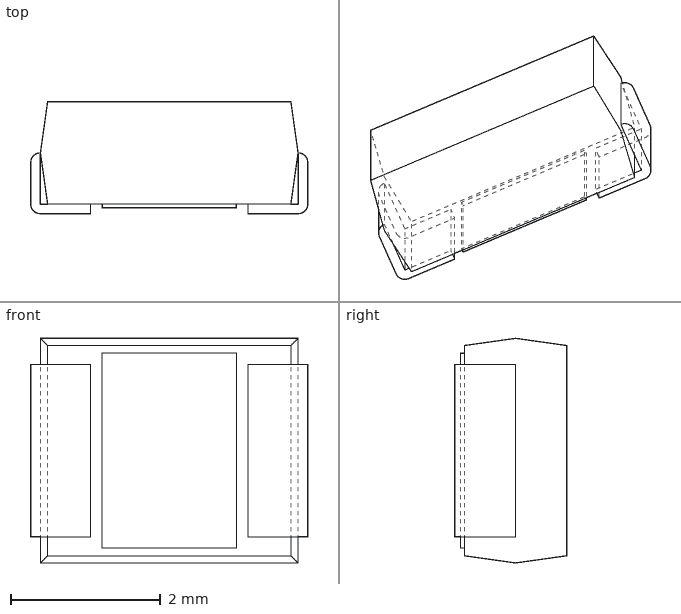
import cadquery as cq
import math

LENGTH = 3.7
DEPTH = 1.5
HEIGHT = 3.0

LEAD_THICKNESS = 0.13
LEAD_WIDTH = 2.3
FOOT_LENGTH = 0.8

DRAFT_ANGLE = 8.0
HOUSING_LENGTH = LENGTH - 2 * LEAD_THICKNESS
HALF_DEPTH = (DEPTH - LEAD_THICKNESS) / 2

PAD_LENGTH = 1.795
PAD_HEIGHT = 2.6
PAD_THICKNESS = 0.05

MOUNTING_FACE_Y = -HALF_DEPTH
FOOT_Y = MOUNTING_FACE_Y - LEAD_THICKNESS


def make_housing():
    """Block that tapers from the parting plane toward its front and back faces."""
    parting_section = cq.Workplane("XZ").rect(HOUSING_LENGTH, HEIGHT)
    front_half = parting_section.extrude(HALF_DEPTH, taper=DRAFT_ANGLE)
    back_half = front_half.mirror("XZ")
    return front_half.union(back_half).solids()


def make_lead(side):
    """L-shaped strip beside the housing and under its mounting face; side is -1 or +1 along X."""
    outer_x = side * LENGTH / 2
    inner_x = side * HOUSING_LENGTH / 2
    foot_end_x = side * (LENGTH / 2 - FOOT_LENGTH)

    diagonal = LEAD_THICKNESS * math.sqrt(0.5)
    tip_round_mid = (inner_x + side * diagonal, -LEAD_THICKNESS + diagonal)
    bend_round_mid = (inner_x + side * diagonal, MOUNTING_FACE_Y - diagonal)

    return (
        cq.Workplane("XY", origin=(0, 0, -LEAD_WIDTH / 2))
        .moveTo(inner_x, 0)
        .threePointArc(tip_round_mid, (outer_x, -LEAD_THICKNESS))
        .lineTo(outer_x, MOUNTING_FACE_Y)
        .threePointArc(bend_round_mid, (inner_x, FOOT_Y))
        .lineTo(foot_end_x, FOOT_Y)
        .lineTo(foot_end_x, MOUNTING_FACE_Y)
        .lineTo(inner_x, MOUNTING_FACE_Y)
        .close()
        .extrude(LEAD_WIDTH)
    )


def make_pad():
    """Flat plate centred on the mounting face, between the two feet."""
    return (
        cq.Workplane("XZ", origin=(0, MOUNTING_FACE_Y, 0))
        .rect(PAD_LENGTH, PAD_HEIGHT)
        .extrude(PAD_THICKNESS)
    )


housing = make_housing()
leads = [make_lead(side) for side in (-1, 1)]
pad = make_pad()

result = cq.Compound.makeCompound([housing.val(), *[lead.val() for lead in leads], pad.val()])